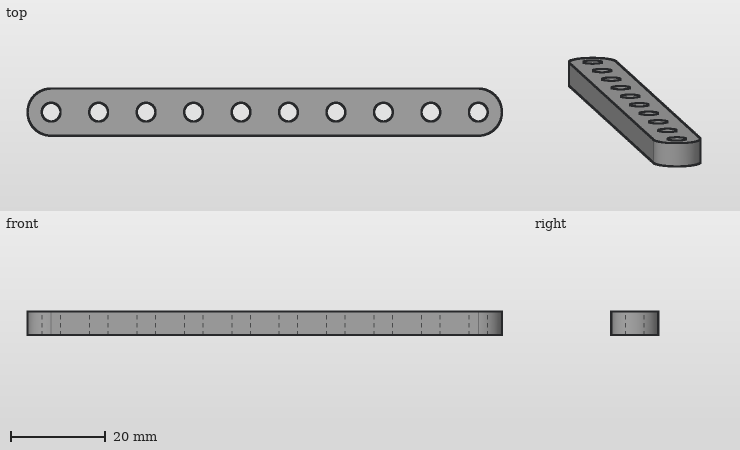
import cadquery as cq

length = 100.0
width = 10.0
thickness = 5.0
hole_diameter = 3.9
hole_count = 10

hole_pitch = (length - width) / (hole_count - 1)

bar = cq.Workplane("XY").slot2D(length, width).extrude(thickness)

result = (
    bar.faces(">Z")
    .workplane(origin=(0, 0, thickness))
    .rarray(hole_pitch, width, hole_count, 1)
    .hole(hole_diameter)
)